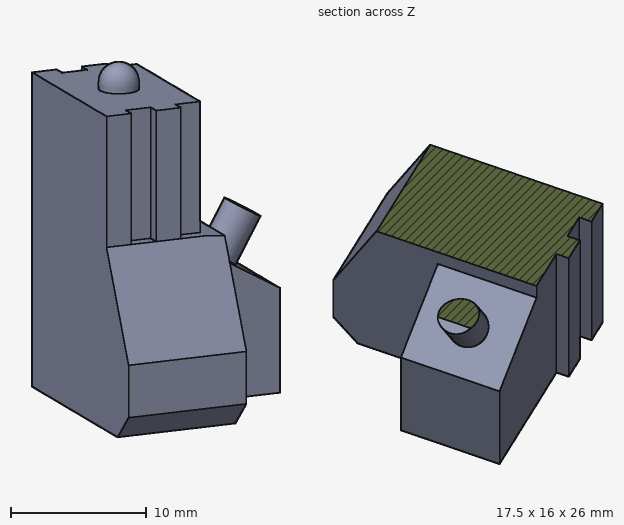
import cadquery as cq
import math

body_height = 24.0
body_depth = 8.0
body_width = 13.5
bulge_width = 4.0
bulge_top = 14.0
bulge_face_top = 6.0
bottom_chamfer = 2.0

groove_pitch = 2.0
groove_depth = 1.0

ledge_depth = 1.5
ledge_slope_angle = 5.0

block_width = 8.0
block_depth = 6.5
block_back_height = 8.0
block_slope_angle = 30.0

pin_radius = 1.5
top_pin_straight = 0.5
rear_pin_length = 4.0
pin_embed = 1.0

full_width = body_width + bulge_width
ledge_back = body_depth + ledge_depth
block_back = ledge_back + block_depth


def side_profile(depth):
    """Outline of the body in XZ, extruded from Y = 0 towards +Y."""
    outline = [
        (0, 0),
        (full_width - bottom_chamfer, 0),
        (full_width, bottom_chamfer),
        (full_width, bulge_face_top),
        (body_width, bulge_top),
        (body_width, body_height),
        (0, body_height),
    ]
    return cq.Workplane("XZ").polyline(outline).close().extrude(-depth)


def box_between(x_range, y_range, z_range):
    """Axis-aligned box spanning the three given ranges."""
    sizes = [high - low for low, high in (x_range, y_range, z_range)]
    corner = (x_range[0], y_range[0], z_range[0])
    return cq.Workplane("XY").box(*sizes, centered=False).translate(corner)


def make_body():
    """Body and ledge, with everything behind the body cut down to the ledge top."""
    drop = ledge_depth * math.tan(math.radians(ledge_slope_angle))
    above_ledge = [
        (body_depth, bulge_top),
        (ledge_back, bulge_top - drop),
        (ledge_back, body_height),
        (body_depth, body_height),
    ]
    cutter = cq.Workplane("YZ").polyline(above_ledge).close().extrude(full_width)
    return side_profile(ledge_back).cut(cutter)


def cut_grooves(body):
    """Full-height grooves on the -X side, grooves down to the bulge on the +X side."""
    left = (0, groove_depth)
    right = (body_width - groove_depth, body_width)
    first = (groove_pitch, 2 * groove_pitch)
    second_start = 3 * groove_pitch

    for y_range in (first, (second_start, ledge_back)):
        body = body.cut(box_between(left, y_range, (0, body_height)))
    for y_range in (first, (second_start, body_depth)):
        body = body.cut(box_between(right, y_range, (bulge_top, body_height)))
    return body


def block_top(y):
    """Height of the rear block's sloped top at a given Y."""
    return block_back_height + (block_back - y) * math.tan(math.radians(block_slope_angle))


def make_rear_block():
    """Block behind the ledge, flush with the -X groove floor."""
    outline = [
        (ledge_back, 0),
        (block_back, 0),
        (block_back, block_back_height),
        (ledge_back, block_top(ledge_back)),
    ]
    block = cq.Workplane("YZ").polyline(outline).close().extrude(block_width)
    return block.translate((groove_depth, 0, 0))


def make_rear_pin():
    """Straight pin standing square to the middle of the sloped top."""
    angle = math.radians(block_slope_angle)
    axis = cq.Vector(0, math.sin(angle), math.cos(angle))
    centre_y = ledge_back + block_depth / 2
    foot = cq.Vector(groove_depth + block_width / 2, centre_y, block_top(centre_y))
    start = foot - axis * pin_embed
    return cq.Solid.makeCylinder(pin_radius, rear_pin_length + pin_embed, start, axis)


def make_top_pin():
    """Round-ended pin in the middle of the top face."""
    half_profile = (
        cq.Workplane("XZ")
        .moveTo(0, -pin_embed)
        .lineTo(pin_radius, -pin_embed)
        .lineTo(pin_radius, top_pin_straight)
        .radiusArc((0, top_pin_straight + pin_radius), -pin_radius)
        .close()
    )
    pin = half_profile.revolve(360, (0, 0, 0), (0, 1, 0))
    return pin.translate((body_width / 2, body_depth / 2, body_height))


result = (
    cut_grooves(make_body())
    .union(make_rear_block())
    .union(make_rear_pin())
    .union(make_top_pin())
)